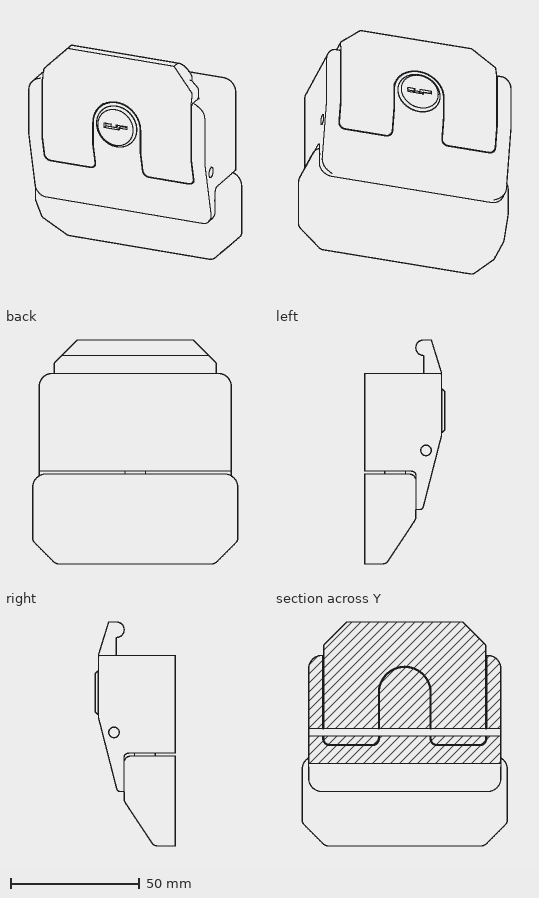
import cadquery as cq


back_depth = 0.0
housing_depth = 30.0
lock_depth = 31.3

base_half_width = 40.0
base_height = 35.1
base_depth = 20.0
base_bevel = 9.1
base_foot_depth = 8.4
base_slope_height = 17.55
base_edge_radius = 2.6

housing_half_width = 37.5
housing_top = 74.3
housing_bottom = 21.2
housing_step_height = 36.15
housing_tip_depth = 22.6
slope_top = 50.2
corner_radius = 5.2
step_radius = 1.75
rim_radius = 1.05
tip_radius = 1.3

lever_gap = 0.3
pocket_half_width = 31.9
pocket_bottom = 39.2
pocket_corner_radius = 2.6
tongue_half_width = 9.95
tongue_centre_height = 59.7
lever_back_depth = 23.0
lever_top = 87.3
lever_top_depth = 26.0
lever_top_half_width = 22.6
lever_corner_radius = 1.6
bead_radius = 3.05

lock_radius = 8.6
lock_edge_chamfer = 1.05
keyway_depth = 1.75
keyway_half_length = 4.8
keyway_rise = 1.05
keyway_drop = 0.8
keyway_upper_notch = (-1.9, 0.2)
keyway_lower_step = 1.5
hinge_radius = 2.0
hinge_depth = 23.9
hinge_height = 44.3
bolt_width = 8.1
bolt_depth = 11.9


def side_prism(profile, half_width):
    """Extrude a YZ profile symmetrically about X = 0."""
    return profile.extrude(half_width, both=True)


def front_prism(outline, near_depth, far_depth):
    """Extrude an XZ outline drawn at Y = 0 so that it spans the two depths."""
    return outline.extrude(far_depth - near_depth).translate((0, -near_depth, 0))


def make_base():
    foot_half_width = base_half_width - base_bevel
    outline = cq.Workplane("XZ").polyline([
        (-foot_half_width, 0),
        (foot_half_width, 0),
        (base_half_width, base_bevel),
        (base_half_width, base_height),
        (-base_half_width, base_height),
        (-base_half_width, base_bevel),
    ]).close()
    block = front_prism(outline, back_depth, base_depth)
    block = block.edges("|Y").edges(">Z").fillet(corner_radius)
    slope_cut = side_prism(
        cq.Workplane("YZ").polyline([
            (-base_foot_depth, 0),
            (-base_depth, base_slope_height),
            (-base_depth, 0),
        ]).close(),
        base_half_width,
    )
    block = block.cut(slope_cut)
    base_width = 2 * base_half_width
    bevel_zone = cq.selectors.BoxSelector(
        (-base_width, -base_depth, -base_bevel),
        (base_width, base_depth, 2 * base_bevel),
    )
    bevel_edges = block.edges("|Y").edges(bevel_zone)
    front_edges = block.edges("not(>Y or |Y)")
    return front_edges.add(bevel_edges).fillet(base_edge_radius)


def make_housing():
    profile = cq.Workplane("YZ").polyline([
        (back_depth, housing_step_height),
        (back_depth, housing_top),
        (-housing_depth, housing_top),
        (-housing_depth, slope_top),
        (-housing_tip_depth, housing_bottom),
        (-base_depth, housing_bottom),
        (-base_depth, housing_step_height),
    ]).close()
    body = side_prism(profile, housing_half_width)
    for depth, height, radius in [
        (base_depth, housing_step_height, step_radius),
        (housing_depth, housing_top, rim_radius),
        (housing_tip_depth, housing_bottom, tip_radius),
    ]:
        long_edge = cq.selectors.NearestToPointSelector((0, -depth, height))
        body = body.edges(long_edge).fillet(radius)
    rounded = front_prism(
        cq.Workplane("XZ")
        .center(0, (housing_top + housing_bottom) / 2)
        .rect(2 * housing_half_width, housing_top - housing_bottom),
        back_depth, housing_depth,
    ).edges("|Y").fillet(corner_radius)
    return body.intersect(rounded)


def lever_block(clearance):
    """Plate straddling the lock tongue, its edges set in by the clearance."""
    half_width = pocket_half_width - clearance
    bottom = pocket_bottom + clearance
    slot_half_width = tongue_half_width + clearance
    height = lever_top - bottom
    plate = front_prism(
        cq.Workplane("XZ").center(0, bottom + height / 2).rect(2 * half_width, height),
        lever_back_depth, housing_depth,
    )
    slot_height = tongue_centre_height - bottom
    slot = front_prism(
        cq.Workplane("XZ").center(0, bottom + slot_height / 2).rect(2 * slot_half_width, slot_height),
        lever_back_depth, housing_depth,
    )
    arch = front_prism(
        cq.Workplane("XZ").center(0, tongue_centre_height).circle(slot_half_width),
        lever_back_depth, housing_depth,
    )
    plate = plate.cut(slot.union(arch))
    return plate.edges("|Y").edges("<Z").fillet(pocket_corner_radius - clearance)


def make_lever():
    shoulder_half_width = pocket_half_width - lever_gap
    shoulder_height = lever_top - (shoulder_half_width - lever_top_half_width)
    outline = cq.Workplane("XZ").polyline([
        (-shoulder_half_width, pocket_bottom),
        (shoulder_half_width, pocket_bottom),
        (shoulder_half_width, shoulder_height),
        (lever_top_half_width, lever_top),
        (-lever_top_half_width, lever_top),
        (-shoulder_half_width, shoulder_height),
    ]).close()
    silhouette = front_prism(outline, back_depth, housing_depth)
    for side in (-1, 1):
        shoulder_edge = cq.selectors.NearestToPointSelector(
            (side * shoulder_half_width, -housing_depth / 2, shoulder_height)
        )
        silhouette = silhouette.edges(shoulder_edge).fillet(lever_corner_radius)

    slope_rate = (housing_depth - housing_tip_depth) / (slope_top - housing_bottom)
    profile = cq.Workplane("YZ").polyline([
        (-lever_back_depth, pocket_bottom),
        (-lever_back_depth, lever_top),
        (-lever_top_depth, lever_top),
        (-housing_depth, housing_top),
        (-housing_depth, slope_top),
        (-housing_depth + slope_rate * (slope_top - pocket_bottom), pocket_bottom),
    ]).close()
    plate = side_prism(profile, shoulder_half_width).intersect(lever_block(lever_gap))
    bead = side_prism(
        cq.Workplane("YZ").center(-lever_back_depth, lever_top - bead_radius).circle(bead_radius),
        shoulder_half_width,
    )
    return plate.union(bead).intersect(silhouette)


def make_lock():
    barrel = front_prism(
        cq.Workplane("XZ").center(0, tongue_centre_height).circle(lock_radius),
        lever_back_depth, lock_depth,
    )
    return barrel.faces("<Y").edges().chamfer(lock_edge_chamfer)


def make_keyway():
    notch_start, notch_end = keyway_upper_notch
    outline = cq.Workplane("XZ").center(0, tongue_centre_height).polyline([
        (-keyway_half_length, -keyway_drop),
        (keyway_lower_step, -keyway_drop),
        (keyway_lower_step, 0),
        (keyway_half_length, 0),
        (keyway_half_length, keyway_rise),
        (notch_end, keyway_rise),
        (notch_end, 0),
        (notch_start, 0),
        (notch_start, keyway_rise),
        (-keyway_half_length, keyway_rise),
    ]).close()
    return front_prism(outline, lock_depth - keyway_depth, lock_depth)


def make_bolt():
    """Square bolt bridging the gap between the base and the housing."""
    return (
        cq.Workplane("XY", origin=(0, -bolt_depth, base_height))
        .rect(bolt_width, bolt_width)
        .extrude(housing_step_height - base_height)
    )


def make_hinge_hole():
    return side_prism(
        cq.Workplane("YZ").center(-hinge_depth, hinge_height).circle(hinge_radius),
        housing_half_width,
    )


result = (
    make_housing()
    .cut(lever_block(0))
    .union(make_lever())
    .union(make_lock())
    .union(make_base())
    .union(make_bolt())
    .cut(make_hinge_hole())
    .cut(make_keyway())
)